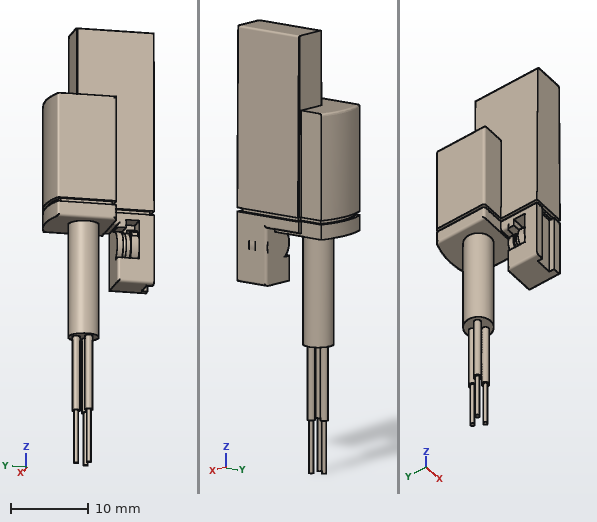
import cadquery as cq
import math

TOP = 58.9
HOUSING_TOP = 48.95
HOUSING_BOTTOM = 34.75
CAP_TOP = 34.25
SHOULDER_BOTTOM = 32.65
CAP_BOTTOM = 32.2
FOOT_BOTTOM = 24.9
CABLE_BOTTOM = 17.0
INSULATION_BOTTOM = 7.05

HOUSING_WIDTH = 7.95
HOUSING_FRONT = 5.9
HOUSING_SIDE_BACK = 13.7
HOUSING_BACK = 14.5
EDGE_RADIUS = 0.35

TOWER_LEFT = 3.55
TOWER_RIGHT = 8.5
TOWER_BACK = 10.3
TOWER_TAPER = 0.2
TOWER_EDGE_RADIUS = 0.3
TOWER_BACK_CHAMFER = 0.1
NECK_INSET = 0.5

FOOT_BACK = 4.9
GROOVE_LEFT = 4.7
GROOVE_RIGHT = 7.2
GROOVE_DEPTH = 0.75

WHEEL_X = (TOWER_LEFT + TOWER_RIGHT) / 2
WHEEL_Z = 30.05
RIM_RADIUS = 2.55
COLLAR_RADIUS = 2.1
WAIST_RADIUS = 1.95
KNOB_RADIUS = 4.5 / 2
RIM_FRONT = 2.0
RIM_BACK = 3.05
COLLAR_BACK = 3.65
WAIST_BACK = 4.05
NOTCH_BACK = 2.9
NOTCH_BOTTOM = 31.35
NOTCH_TOP = 32.1
NOTCH_DEPTH = 0.3
WINDOW_BOTTOM = 28.2
WINDOW_TOP = 33.35
WINDOW_STEP_Y = 3.8

CABLE_X = 3.4
CABLE_Y = 9.5
CABLE_DIAMETER = 4.0
WIRE_DIAMETER = 1.0
CONDUCTOR_DIAMETER = 0.6
WIRE_COUNT = 3
WIRE_SPACING = 1.7


def box(x0, x1, y0, y1, z0, z1):
    """Box between two opposite corners."""
    return cq.Workplane("XY").box(x1 - x0, y1 - y0, z1 - z0, centered=False).translate((x0, y0, z0))


def bowed_block(inset, bottom, top):
    """Upright block with a flat front and a bowed back, shrunk by an inset all round."""
    left = inset
    right = HOUSING_WIDTH - inset
    front = HOUSING_FRONT + inset
    side_back = HOUSING_SIDE_BACK - inset
    return (
        cq.Workplane("XY", origin=(0, 0, bottom))
        .moveTo(left, front)
        .lineTo(right, front)
        .lineTo(right, side_back)
        .threePointArc((HOUSING_WIDTH / 2, HOUSING_BACK - inset), (left, side_back))
        .close()
        .extrude(top - bottom)
    )


def make_housing():
    """Housing rounded around its left face, except at the bottom, and along its bowed top edge."""
    block = bowed_block(0, HOUSING_BOTTOM, HOUSING_TOP)
    left_edges = block.faces("<X").edges("|Z or >Z").vals()
    bowed_edge = block.faces(">Z").edges("%CIRCLE").vals()
    return block.newObject(left_edges + bowed_edge).fillet(EDGE_RADIUS)


def make_cap():
    """Cap below the housing, rounded around its left face except along the top."""
    block = bowed_block(0, CAP_BOTTOM, CAP_TOP)
    return block.faces("<X").edges("|Z or <Z").fillet(EDGE_RADIUS)


def make_tower():
    """Tapered tower, rounded on its top side edges and chamfered on its back corners."""
    tower = (
        cq.Workplane("XZ")
        .moveTo(TOWER_LEFT, HOUSING_BOTTOM)
        .lineTo(TOWER_RIGHT, HOUSING_BOTTOM)
        .lineTo(TOWER_RIGHT - TOWER_TAPER, TOP)
        .lineTo(TOWER_LEFT + TOWER_TAPER, TOP)
        .close()
        .extrude(-TOWER_BACK)
    )
    tower = tower.faces(">Y").edges("<X or >X").chamfer(TOWER_BACK_CHAMFER)
    return tower.faces(">Z").edges("|Y").fillet(TOWER_EDGE_RADIUS)


def make_neck():
    """Recessed neck joining the cap and foot to the housing and tower."""
    tower_neck = box(
        TOWER_LEFT + NECK_INSET, TOWER_RIGHT - NECK_INSET,
        NECK_INSET, TOWER_BACK - NECK_INSET,
        CAP_TOP, HOUSING_BOTTOM,
    )
    return bowed_block(NECK_INSET, CAP_TOP, HOUSING_BOTTOM).union(tower_neck)


def make_foot():
    """Foot with rounded sides, a front groove and a blind window for the wheel."""
    foot = (
        cq.Workplane("YZ", origin=(TOWER_LEFT, 0, 0))
        .moveTo(0, FOOT_BOTTOM)
        .lineTo(FOOT_BACK, FOOT_BOTTOM)
        .lineTo(FOOT_BACK, SHOULDER_BOTTOM)
        .lineTo(TOWER_BACK, SHOULDER_BOTTOM)
        .lineTo(TOWER_BACK, CAP_TOP)
        .lineTo(0, CAP_TOP)
        .close()
        .extrude(TOWER_RIGHT - TOWER_LEFT)
    )
    foot = foot.faces("<X or >X").edges("not (<Y or >Y or >Z)").fillet(EDGE_RADIUS)
    groove = box(GROOVE_LEFT, GROOVE_RIGHT, 0, GROOVE_DEPTH, FOOT_BOTTOM, CAP_TOP)
    tall_window = box(TOWER_LEFT, WHEEL_X, RIM_FRONT, WINDOW_STEP_Y, WINDOW_BOTTOM, WINDOW_TOP)
    back_window = box(TOWER_LEFT, WHEEL_X, RIM_FRONT, FOOT_BACK, WINDOW_BOTTOM, WHEEL_Z + KNOB_RADIUS)
    return foot.cut(groove).cut(tall_window).cut(back_window)


def make_wheel():
    """Stepped wheel: notched rim, collar, tapered waist and knob."""
    wheel = (
        cq.Workplane("XY")
        .moveTo(0, RIM_FRONT)
        .lineTo(RIM_RADIUS, RIM_FRONT)
        .lineTo(RIM_RADIUS, RIM_BACK)
        .lineTo(COLLAR_RADIUS, RIM_BACK)
        .lineTo(COLLAR_RADIUS, COLLAR_BACK)
        .lineTo(WAIST_RADIUS, WAIST_BACK)
        .lineTo(KNOB_RADIUS, WAIST_BACK)
        .lineTo(KNOB_RADIUS, FOOT_BACK)
        .lineTo(0, FOOT_BACK)
        .close()
        .revolve(360, (0, 0, 0), (0, 1, 0))
        .translate((WHEEL_X, 0, WHEEL_Z))
    )
    notch_height = (NOTCH_BOTTOM + NOTCH_TOP) / 2 - WHEEL_Z
    notch_floor = WHEEL_X - math.sqrt(RIM_RADIUS**2 - notch_height**2) + NOTCH_DEPTH
    notch = box(WHEEL_X - RIM_RADIUS, notch_floor, RIM_FRONT, NOTCH_BACK, NOTCH_BOTTOM, NOTCH_TOP)
    return wheel.cut(notch)


def rod(x, y, diameter, bottom, top):
    """Upright round rod."""
    return cq.Workplane("XY", origin=(x, y, bottom)).circle(diameter / 2).extrude(top - bottom)


def make_cable():
    """Cable sheath, insulated wires and bare conductors."""
    cable = rod(CABLE_X, CABLE_Y, CABLE_DIAMETER, CABLE_BOTTOM, CAP_BOTTOM)
    ring_radius = WIRE_SPACING / math.sqrt(3)
    for index in range(WIRE_COUNT):
        angle = math.pi / 2 + index * 2 * math.pi / WIRE_COUNT
        x = CABLE_X + ring_radius * math.cos(angle)
        y = CABLE_Y + ring_radius * math.sin(angle)
        cable = cable.union(rod(x, y, WIRE_DIAMETER, INSULATION_BOTTOM, CABLE_BOTTOM))
        cable = cable.union(rod(x, y, CONDUCTOR_DIAMETER, 0, INSULATION_BOTTOM))
    return cable


result = (
    make_housing()
    .union(make_tower())
    .union(make_neck())
    .union(make_cap())
    .union(make_foot())
    .union(make_wheel())
    .union(make_cable())
)